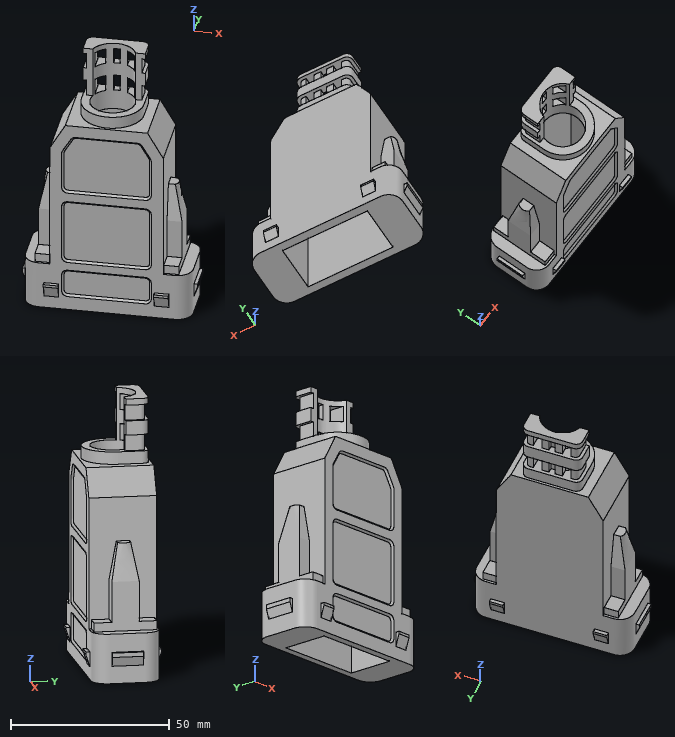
import cadquery as cq
import math

overall_length = 56.3
overall_width = 24.4
total_height = 88.1

base_length = 54.0
base_width = 21.8
base_height = 16.1
base_corner_radius = 5.1

body_length = 36.5
body_height = 67.1
shoulder_start = 58.4
body_top_length = 26.4

wall = 2.8

collar_radius = 10.05
collar_height = 4.0
collar_corner_radius = 2.3
bore_diameter = 14.5
tower_front = 2.4
tower_groove_depth = 1.15
tower_groove_corner_radius = 1.5
collar_top = body_height + collar_height
tower_groove_spans = [(collar_top, 76.4), (81.0, 86.1)]
window_spans = [(-6.4, -3.5), (-1.05, 1.05), (3.5, 6.4)]

panel_border = 4.0
panel_length = 28.8
panel_depth = 0.7
panel_corner_radius = 2.0
upper_panel_bottom = 42.5
middle_panel_span = (17.2, 39.4)
lower_panel_span = (4.75, 14.4)

post_reach = 23.07
post_width = 8.8
post_shoulder = 32.0
foot_width = 20.2
foot_top = 19.0
post_top = 44.2
tip_reach = 21.45
tip_width = 4.2
tip_diameter = 5.6

side_latch_projection = (overall_length - base_length) / 2
side_latch_width = 10.0
side_latch_levels = (5.7, 8.8, 10.2)
face_latch_projection = (overall_width - base_width) / 2
face_latch_width = 4.7
face_latch_levels = (4.25, 8.2, 9.06)
face_latch_offset = 17.7

overlap = 0.5


def box_between(x_span, y_span, z_span):
    """Box given by its lower and upper limit along each axis."""
    lengths = [high - low for low, high in (x_span, y_span, z_span)]
    corner = (x_span[0], y_span[0], z_span[0])
    return cq.Workplane("XY").box(*lengths, centered=False).translate(corner)


def both_ends(feature):
    """Feature at the +X end together with its mirror image at the -X end."""
    return feature.union(feature.mirror("YZ"))


def shouldered_outline(bottom, half_length, slope_start, top, half_top_length):
    """Front outline, in X and Z, of a block with two sloped shoulders."""
    return [
        (-half_length, bottom),
        (half_length, bottom),
        (half_length, slope_start),
        (half_top_length, top),
        (-half_top_length, top),
        (-half_length, slope_start),
    ]


def shoulder_inset(distance):
    """Slope start and half top length of the body outline moved inward by a distance."""
    rise = body_height - shoulder_start
    run = (body_length - body_top_length) / 2
    slope = math.hypot(rise, run)
    start = shoulder_start - distance * (slope - rise) / run
    half_top = body_top_length / 2 - distance * (slope - run) / rise
    return start, half_top


def make_housing():
    base = (
        cq.Workplane("XY")
        .rect(base_length, base_width)
        .extrude(base_height)
        .edges("|Z")
        .fillet(base_corner_radius)
    )
    outline = shouldered_outline(0, body_length / 2, shoulder_start, body_height, body_top_length / 2)
    body = cq.Workplane("XZ").polyline(outline).close().extrude(base_width / 2, both=True)
    return base.union(body)


def make_cavity():
    slope_start, half_top = shoulder_inset(wall)
    outline = shouldered_outline(0, body_length / 2 - wall, slope_start, body_height - wall, half_top)
    return cq.Workplane("XZ").polyline(outline).close().extrude(base_width / 2 - wall, both=True)


def collar_section(radius, corner_radius, bottom, top):
    """Round at the front, square with rounded corners at the back."""
    return (
        cq.Workplane("XY")
        .workplane(offset=bottom)
        .moveTo(-radius, 0)
        .threePointArc((0, -radius), (radius, 0))
        .lineTo(radius, radius)
        .lineTo(-radius, radius)
        .close()
        .extrude(top - bottom)
        .edges("|Z and >Y")
        .fillet(corner_radius)
    )


def make_cable_outlet():
    outlet = collar_section(collar_radius, collar_corner_radius, body_height - overlap, total_height)
    across = (-collar_radius, collar_radius)
    outlet = outlet.cut(box_between(across, (-collar_radius, tower_front), (collar_top, total_height)))
    core_radius = collar_radius - tower_groove_depth
    for bottom, top in tower_groove_spans:
        slab = box_between(across, (tower_front, collar_radius), (bottom, top))
        core = collar_section(core_radius, tower_groove_corner_radius, bottom, top)
        outlet = outlet.cut(slab.cut(core))
        for window in window_spans:
            outlet = outlet.cut(box_between(window, (tower_front, collar_radius), (bottom, top)))
    return outlet


def make_bore():
    return cq.Workplane("XY").circle(bore_diameter / 2).extrude(total_height)


def make_panel_recess(outline):
    """Pocket in the front face with walls sloped at 45 degrees."""
    return (
        cq.Workplane("XZ", origin=(0, -base_width / 2 - overlap, 0))
        .polyline(outline)
        .close()
        .extrude(-panel_depth - overlap)
        .edges("|Y")
        .fillet(panel_corner_radius)
        .faces(">Y")
        .chamfer(panel_depth)
    )


def rectangle_outline(half_length, bottom, top):
    return [(-half_length, bottom), (half_length, bottom), (half_length, top), (-half_length, top)]


def make_panels():
    half_length = panel_length / 2
    slope_start, half_top = shoulder_inset(panel_border)
    upper_top = body_height - panel_border
    outlines = [
        shouldered_outline(upper_panel_bottom, half_length, slope_start, upper_top, half_top),
        rectangle_outline(half_length, *middle_panel_span),
        rectangle_outline(half_length, *lower_panel_span),
    ]
    panels = cq.Workplane("XY")
    for outline in outlines:
        panels = panels.union(make_panel_recess(outline))
    return panels


def make_guide_post():
    root = body_length / 2 - overlap
    half_foot = foot_width / 2
    half_post = post_width / 2
    foot = box_between((root, post_reach), (-half_foot, half_foot), (base_height - overlap, foot_top))
    stem = box_between((root, post_reach), (-half_post, half_post), (foot_top - overlap, post_shoulder))
    half_tip = tip_width / 2
    tip_radius = tip_diameter / 2
    arc_start = tip_reach - tip_radius + math.sqrt(tip_radius**2 - half_tip**2)
    tip = (
        cq.Workplane("XY")
        .workplane(offset=post_shoulder)
        .moveTo(root, -half_post)
        .lineTo(post_reach, -half_post)
        .lineTo(post_reach, half_post)
        .lineTo(root, half_post)
        .close()
        .workplane(offset=post_top - post_shoulder)
        .moveTo(root, -half_tip)
        .lineTo(arc_start, -half_tip)
        .threePointArc((tip_reach, 0), (arc_start, half_tip))
        .lineTo(root, half_tip)
        .close()
        .loft(ruled=True)
    )
    return foot.union(stem).union(tip)


def make_latch(projection, width, levels):
    """Wedge pointing along +X from X = 0, flat on top and tapering downward."""
    bottom, taper_start, top = levels
    return (
        cq.Workplane("XZ")
        .moveTo(-overlap, bottom)
        .lineTo(0, bottom)
        .lineTo(projection, taper_start)
        .lineTo(projection, top)
        .lineTo(-overlap, top)
        .close()
        .extrude(width / 2, both=True)
    )


def make_latches():
    side = make_latch(side_latch_projection, side_latch_width, side_latch_levels)
    latches = both_ends(side.translate((base_length / 2, 0, 0)))
    face = make_latch(face_latch_projection, face_latch_width, face_latch_levels)
    back = face.rotate((0, 0, 0), (0, 0, 1), 90).translate((face_latch_offset, base_width / 2, 0))
    back_pair = both_ends(back)
    return latches.union(back_pair).union(back_pair.mirror("XZ"))


result = (
    make_housing()
    .union(both_ends(make_guide_post()))
    .union(make_cable_outlet())
    .union(make_latches())
    .cut(make_panels())
    .cut(make_cavity())
    .cut(make_bore())
)